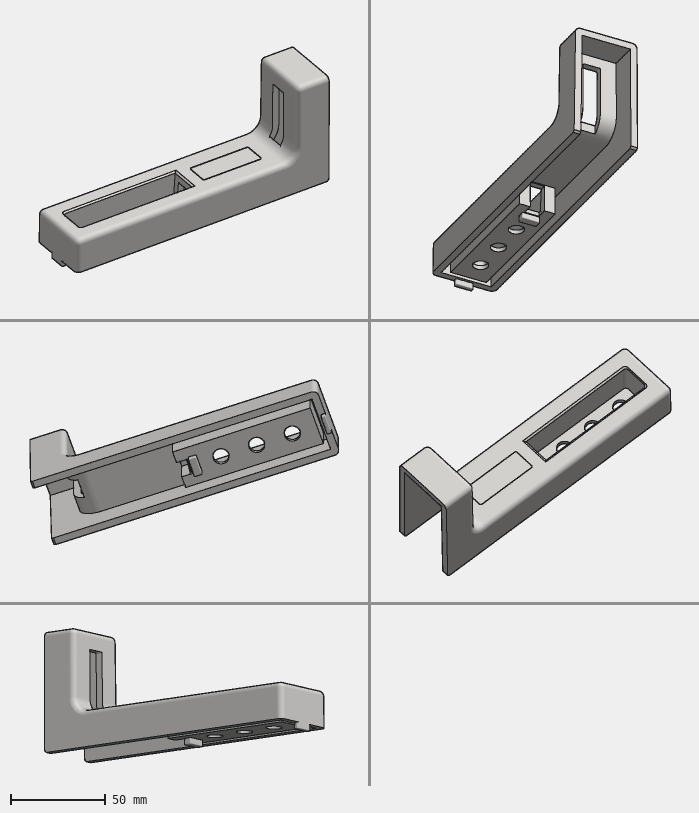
import cadquery as cq
import math

LENGTH = 161.5
WIDTH = 38.3
BODY_HEIGHT = 65.6
BASE_HEIGHT = 20.2
ARM_DEPTH = 20.2
WALL = 4.0
CAVITY_OVERSHOOT = 1.6
EDGE_MARGIN = 0.8
DRAFT = math.tan(math.radians(0.5))
EDGE_RADIUS = 3.0
ELBOW_RADIUS = 8.0
HEEL_CHAMFER = 1.1

SLOT_WIDTH = 10.5
SLOT_TOP = 55.5
SLOT_FRONT = 139.0
SLOT_CORNER = 0.8

LABEL_WIDTH = 13.4
LABEL_LENGTH = 37.2
LABEL_CENTER = 107.7
LABEL_DEPTH = 0.3
LABEL_CORNER = 1.0

POCKET_WIDTH = 15.0
POCKET_FRONT = 9.9
POCKET_BACK = 80.8
POCKET_CORNER = 2.0
RIM_SIDE = 1.1
RIM_FRONT = 0.5
RIM_BACK = 1.3
RIM_DEPTH = 0.8
FLOOR = 2.5
SIDE_WALL_LEAN = 0.5
END_WALL_LEAN = 1.5
TUB_WALL = 3.2

DOOR_WIDTH = 8.5
DOOR_TOP = 15.5
DOOR_FRONT = 77.9
HOLE_DIAMETER = 8.5
HOLE_PITCH = 20.0
HOLE_MIDDLE = 40.4
HOLE_COUNT = 3

TAB_WIDTH = SLOT_WIDTH
TAB_HEIGHT = 3.5
TAB_CORNER = 0.6
TAB_TIP_RADIUS = 0.5
FRONT_TAB_LENGTH = 2.6
REAR_TAB_LENGTH = 4.5
REAR_TAB_FRONT = 72.7


def block(width, y_front, y_back, z_low, z_high):
    """Box centred on X = 0."""
    size_y = y_back - y_front
    size_z = z_high - z_low
    return cq.Workplane("XY").box(width, size_y, size_z, centered=(True, False, False)).translate(
        (0, y_front, z_low)
    )


def l_solid(inset, overshoot):
    """L-shaped solid inset from the outer skin, running past the open back and bottom."""
    low = -overshoot
    high = BODY_HEIGHT - inset
    base_top = BASE_HEIGHT - inset

    def front_face(z):
        return inset + DRAFT * z

    def arm_face(z):
        return LENGTH - ARM_DEPTH + inset - DRAFT * (BODY_HEIGHT - z)

    def back_face(z):
        return LENGTH + overshoot - DRAFT * (BODY_HEIGHT - z)

    side = (
        cq.Workplane("YZ")
        .moveTo(front_face(low), low)
        .lineTo(front_face(base_top), base_top)
        .lineTo(arm_face(base_top), base_top)
        .lineTo(arm_face(high), high)
        .lineTo(back_face(high), high)
        .lineTo(back_face(low), low)
        .close()
        .extrude(WIDTH, both=True)
    )

    def half_width(z):
        return WIDTH / 2 - inset - DRAFT * z

    section = (
        cq.Workplane("XZ")
        .moveTo(-half_width(low), low)
        .lineTo(half_width(low), low)
        .lineTo(half_width(high), high)
        .lineTo(-half_width(high), high)
        .close()
        .extrude(2 * LENGTH, both=True)
    )
    elbow_y = arm_face(base_top)
    elbow = cq.selectors.BoxSelector(
        (-WIDTH, elbow_y - EDGE_MARGIN, base_top - EDGE_MARGIN),
        (WIDTH, elbow_y + EDGE_MARGIN, base_top + EDGE_MARGIN),
    )
    elbow_edge = cq.selectors.AndSelector(elbow, cq.selectors.ParallelDirSelector(cq.Vector(1, 0, 0)))
    return side.intersect(section).edges(elbow_edge).fillet(ELBOW_RADIUS + inset)


def is_rounded(edge):
    """True for the outer convex edges; the back, the bottom and the elbow seams stay as they are."""
    center = edge.Center()
    on_back = center.y > LENGTH - 2 * EDGE_MARGIN
    on_bottom = center.z < EDGE_MARGIN
    across = edge.BoundingBox().xlen > WIDTH / 2
    at_nose = center.y < EDGE_MARGIN
    at_top = center.z > BODY_HEIGHT - EDGE_MARGIN
    return not on_back and not on_bottom and (not across or at_nose or at_top)


def shell_body():
    """Solid outer form and the same form hollowed to an even wall."""
    outer = l_solid(0, 0)
    outer = outer.newObject([e for e in outer.edges().vals() if is_rounded(e)]).fillet(EDGE_RADIUS)
    outer = outer.faces("<Z").edges(">Y").chamfer(HEEL_CHAMFER)
    return outer, outer.cut(l_solid(WALL, CAVITY_OVERSHOOT))


def tub(outer):
    """Solid block under the base from which the pocket is hollowed."""
    width = POCKET_WIDTH + 2 * TUB_WALL
    return block(width, POCKET_FRONT - TUB_WALL, POCKET_BACK + TUB_WALL, 0, BASE_HEIGHT).intersect(outer)


def pocket_outline(z, spread_x, front, back):
    """Closed outline at height z, square at the +Y end and rounded at the -Y corners."""
    half = POCKET_WIDTH / 2 + spread_x
    corner = POCKET_CORNER
    return (
        cq.Workplane("XY", origin=(0, 0, z))
        .moveTo(half, back)
        .lineTo(-half, back)
        .lineTo(-half, front + corner)
        .radiusArc((-half + corner, front), -corner)
        .lineTo(half - corner, front)
        .radiusArc((half, front + corner), -corner)
        .close()
        .val()
    )


def pocket():
    rim_low = BASE_HEIGHT - RIM_DEPTH
    rim_front = POCKET_FRONT - SIDE_WALL_LEAN
    floor_outline = pocket_outline(FLOOR, 0, POCKET_FRONT, POCKET_BACK - END_WALL_LEAN)
    rim_outline = pocket_outline(rim_low, SIDE_WALL_LEAN, rim_front, POCKET_BACK)
    top_outline = pocket_outline(
        BASE_HEIGHT, SIDE_WALL_LEAN + RIM_SIDE, rim_front - RIM_FRONT, POCKET_BACK + RIM_BACK
    )
    well = cq.Solid.makeLoft([floor_outline, rim_outline], True)
    rim = cq.Solid.makeLoft([rim_outline, top_outline], True)
    return cq.Workplane(obj=well).union(cq.Workplane(obj=rim))


def door():
    return block(DOOR_WIDTH, DOOR_FRONT, POCKET_BACK + TUB_WALL, 0, DOOR_TOP)


def floor_holes():
    first = HOLE_MIDDLE - HOLE_PITCH * (HOLE_COUNT - 1) / 2
    centers = [(0, first + i * HOLE_PITCH) for i in range(HOLE_COUNT)]
    return cq.Workplane("XY").pushPoints(centers).circle(HOLE_DIAMETER / 2).extrude(FLOOR)


def arm_slot():
    slot = block(SLOT_WIDTH, SLOT_FRONT, LENGTH, 0, SLOT_TOP)
    return slot.edges("|Y and >Z").fillet(SLOT_CORNER)


def label_recess():
    recess = block(
        LABEL_WIDTH,
        LABEL_CENTER - LABEL_LENGTH / 2,
        LABEL_CENTER + LABEL_LENGTH / 2,
        BASE_HEIGHT - LABEL_DEPTH,
        BASE_HEIGHT,
    )
    return recess.edges("|Z").fillet(LABEL_CORNER)


def tab(y_front, length):
    body = block(TAB_WIDTH, y_front, y_front + length, -TAB_HEIGHT, 0)
    return body.edges("|Z").fillet(TAB_CORNER).faces("<Z").edges().fillet(TAB_TIP_RADIUS)


outer_body, shell = shell_body()
result = (
    shell.union(tub(outer_body))
    .cut(pocket())
    .cut(door())
    .cut(floor_holes())
    .cut(arm_slot())
    .cut(label_recess())
    .union(tab(0, FRONT_TAB_LENGTH))
    .union(tab(REAR_TAB_FRONT, REAR_TAB_LENGTH))
)